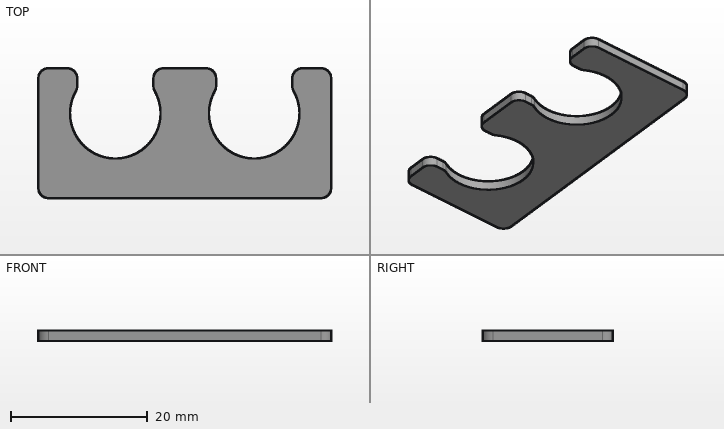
import cadquery as cq

length = 42.85
width = 19.05
thickness = 1.6
corner_radius = 1.5

seat_radius = 6.6
seat_spacing = 20.3
neck_width = 11.1
seat_center_y = width / 2 - seat_radius


def seat_cutter(center_x):
    """Round seat with a narrower straight neck opening through the +Y edge."""
    seat = (
        cq.Workplane("XY")
        .center(center_x, seat_center_y)
        .circle(seat_radius)
        .extrude(thickness)
    )
    neck_length = 2 * seat_radius
    neck = (
        cq.Workplane("XY")
        .center(center_x, seat_center_y + neck_length / 2)
        .rect(neck_width, neck_length)
        .extrude(thickness)
    )
    return seat.union(neck)


plate = cq.Workplane("XY").rect(length, width).extrude(thickness)
for side in (-1, 1):
    plate = plate.cut(seat_cutter(side * seat_spacing / 2))

result = plate.edges("|Z").fillet(corner_radius)